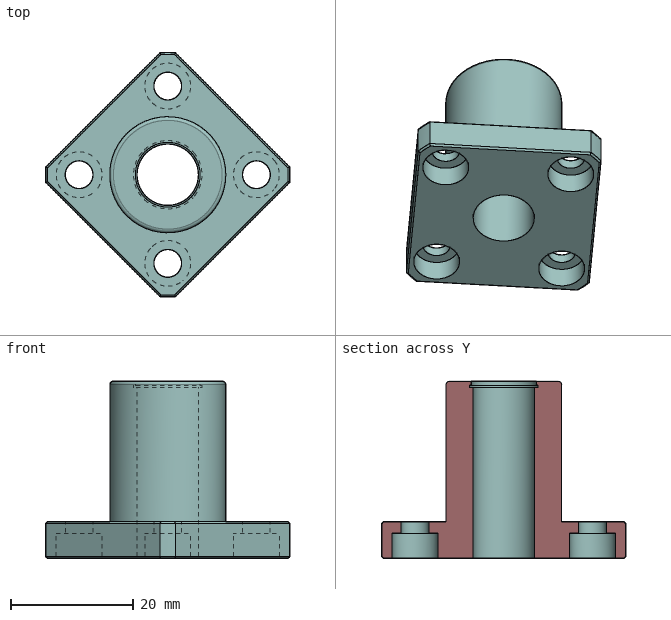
import cadquery as cq

total_height = 29.0

flange_across_flats = 30.0
flange_corner_diameter = 40.0
flange_thickness = 6.0
flange_chamfer = 0.3

barrel_diameter = 19.0
barrel_edge_radius = 0.6

bore_diameter = 10.0
mouth_diameter = 10.6
mouth_depth = 0.7
groove_diameter = 11.2
groove_width = 0.35

mount_circle_diameter = 29.0
mount_hole_count = 4
mount_hole_diameter = 4.5
counterbore_diameter = 7.5
counterbore_depth = 4.1


def cylinder(diameter, height, base_z=0.0):
    """Upright cylinder on the Z axis."""
    return cq.Workplane("XY").workplane(offset=base_z).circle(diameter / 2).extrude(height)


def make_flange():
    square = (
        cq.Workplane("XY")
        .rect(flange_across_flats, flange_across_flats)
        .extrude(flange_thickness)
        .rotate((0, 0, 0), (0, 0, 1), 45)
    )
    flange = square.intersect(cylinder(flange_corner_diameter, flange_thickness))
    return flange.faces("<Z or >Z").edges().chamfer(flange_chamfer)


def make_barrel():
    return cylinder(barrel_diameter, total_height).faces(">Z").edges().fillet(barrel_edge_radius)


def make_bore():
    mouth_z = total_height - mouth_depth
    bore = cylinder(bore_diameter, total_height)
    mouth = cylinder(mouth_diameter, mouth_depth, mouth_z)
    groove = cylinder(groove_diameter, groove_width, mouth_z - groove_width)
    return bore.union(groove).union(mouth)


def cylinders_on_mount_circle(diameter, height):
    return (
        cq.Workplane("XY")
        .polarArray(mount_circle_diameter / 2, 0, 360, mount_hole_count)
        .circle(diameter / 2)
        .extrude(height)
    )


def make_mounting_holes():
    holes = cylinders_on_mount_circle(mount_hole_diameter, flange_thickness)
    counterbores = cylinders_on_mount_circle(counterbore_diameter, counterbore_depth)
    return holes.union(counterbores)


result = make_flange().union(make_barrel()).cut(make_bore()).cut(make_mounting_holes())